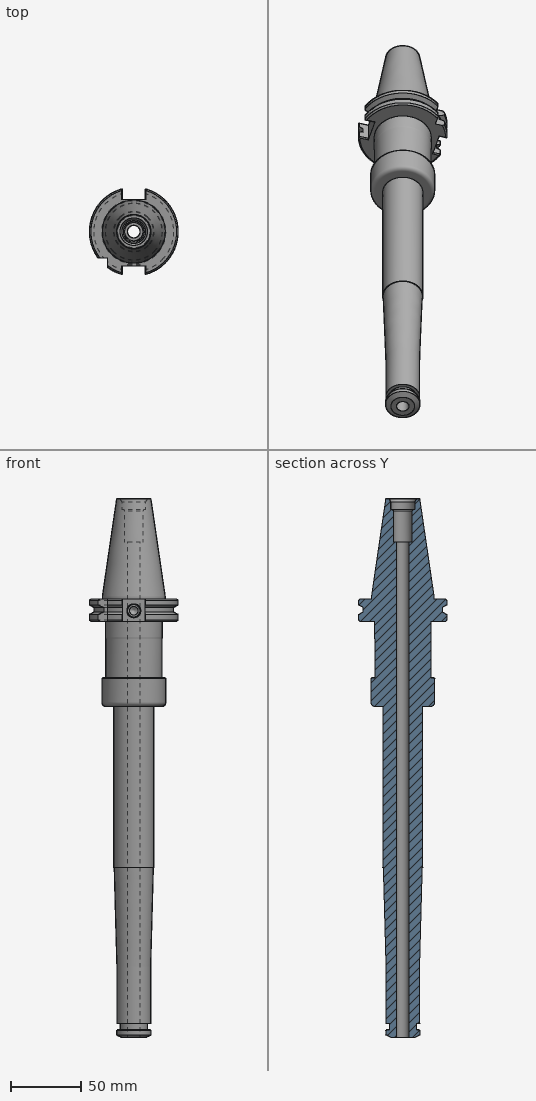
import cadquery as cq
import math

length = 383.8
taper_length = 68.3
gauge_z = length - taper_length
taper_bottom = gauge_z - 1.5
flange_top = gauge_z - 3.0
flange_bottom = gauge_z - 19.0
groove_z = gauge_z - 10.7
body_step_z = 284.0
collar_top = 256.5
collar_bottom = 235.5
shank_bottom = 121.3
cone_bottom = 50.5
tip_bottom = 10.0
rim_top = 5.8
rim_bottom = 2.0

gauge_dia = 44.5
taper_slope = 7 / 24
flange_dia = 63.5
groove_dia = 56.8
upper_body_dia = 40.5
body_dia = 40.3
collar_dia = 45.5
shank_dia = 28.8
cone_top_dia = 28.0
tip_dia = 24.0
neck_dia = 19.5
rim_dia = 24.5
nose_dia = 17.0

taper_end_chamfer = 0.5
flange_chamfer = 1.0
collar_chamfer = 0.8
collar_fillet = 3.0
body_step_chamfer = 0.8
rim_chamfer = 0.8
groove_floor_half = 1.5
groove_wall_angle = math.radians(30)

slot_width = 15.7
slot_chamfer = 0.8
front_slot_floor = 24.5
rear_slot_floor = 23.0
notch_offset = 18.8

side_hole_z = 304.0
side_hole_dia = 6.0
side_countersink_dia = 10.0
side_counterbore_dia = 9.0
side_counterbore_depth = 1.0
side_hole_depth = 2.0
drill_tip_half_angle = math.radians(59)

countersink_dia = 19.5
countersink_half_angle = math.radians(30)
mouth_dia = 17.0
mouth_depth = 7.5
thread_mouth_dia = 15.0
thread_dia = 13.0
thread_depth = 30.7
bore_dia = 9.0


def taper_dia(z):
    """Diameter of the 7/24 taper at height z."""
    return gauge_dia - (z - gauge_z) * taper_slope


def revolve_outline(points):
    """Close a (radius, z) outline and turn it about the Z axis."""
    return cq.Workplane("XZ").polyline(points).close().revolve(360, (0, 0, 0), (0, 1, 0))


def nose_and_shank():
    return revolve_outline([
        (0, 0),
        (nose_dia / 2, 0),
        (rim_dia / 2, rim_bottom),
        (rim_dia / 2, rim_top - rim_chamfer),
        (rim_dia / 2 - rim_chamfer, rim_top),
        (neck_dia / 2, rim_top),
        (neck_dia / 2, tip_bottom),
        (tip_dia / 2, tip_bottom),
        (tip_dia / 2, cone_bottom),
        (cone_top_dia / 2, shank_bottom),
        (shank_dia / 2, shank_bottom),
        (shank_dia / 2, collar_bottom),
        (0, collar_bottom),
    ])


def collar():
    ring = cq.Workplane("XY", origin=(0, 0, collar_bottom)).circle(collar_dia / 2)
    ring = ring.extrude(collar_top - collar_bottom)
    ring = ring.faces("<Z").edges().fillet(collar_fillet)
    return ring.faces(">Z").edges().chamfer(collar_chamfer)


def body():
    return revolve_outline([
        (0, collar_top),
        (body_dia / 2, collar_top),
        (body_dia / 2, body_step_z),
        (upper_body_dia / 2, body_step_z + body_step_chamfer),
        (upper_body_dia / 2, flange_bottom),
        (0, flange_bottom),
    ])


def flange():
    flange_r = flange_dia / 2
    groove_depth = (flange_dia - groove_dia) / 2
    groove_mouth_half = groove_floor_half + groove_depth * math.tan(groove_wall_angle)
    ring = revolve_outline([
        (0, flange_bottom),
        (flange_r - flange_chamfer, flange_bottom),
        (flange_r, flange_bottom + flange_chamfer),
        (flange_r, groove_z - groove_mouth_half),
        (groove_dia / 2, groove_z - groove_floor_half),
        (groove_dia / 2, groove_z + groove_floor_half),
        (flange_r, groove_z + groove_mouth_half),
        (flange_r, flange_top - flange_chamfer),
        (flange_r - flange_chamfer, flange_top),
        (0, flange_top),
    ])
    ring = ring.cut(drive_slot(front_slot_floor).rotate((0, 0, 0), (0, 0, 1), 180))
    ring = ring.cut(drive_slot(rear_slot_floor))
    return ring.cut(orientation_notch())


def drive_slot(floor_y):
    """Cutter for a slot open towards +Y, with its mouth, top and bottom edges chamfered."""
    half = slot_width / 2
    wide = half + slot_chamfer
    mouth_y = math.sqrt((flange_dia / 2) ** 2 - half ** 2)
    plan = [
        (-half, floor_y),
        (-half, mouth_y - slot_chamfer),
        (-wide, mouth_y),
        (-wide, flange_dia),
        (wide, flange_dia),
        (wide, mouth_y),
        (half, mouth_y - slot_chamfer),
        (half, floor_y),
    ]
    section = [
        (-wide, flange_bottom),
        (-half, flange_bottom + slot_chamfer),
        (-half, flange_top - slot_chamfer),
        (-wide, flange_top),
        (wide, flange_top),
        (half, flange_top - slot_chamfer),
        (half, flange_bottom + slot_chamfer),
        (wide, flange_bottom),
    ]
    slot = cq.Workplane("XY", origin=(0, 0, flange_bottom)).polyline(plan).close()
    slot = slot.extrude(flange_top - flange_bottom)
    chamfered_slot = cq.Workplane("XZ", origin=(0, floor_y, 0)).polyline(section).close()
    return slot.union(chamfered_slot.extrude(floor_y - flange_dia))


def orientation_notch():
    """Cutter for the square corner removed on the -X, -Y side of the flange."""
    far = flange_dia
    corner = cq.Workplane("XY", origin=(-far, -far, flange_bottom))
    side = far - notch_offset
    return corner.box(side, side, flange_top - flange_bottom, centered=False)


def taper():
    return revolve_outline([
        (0, flange_top),
        (taper_dia(taper_bottom) / 2, flange_top),
        (taper_dia(taper_bottom) / 2, taper_bottom),
        (taper_dia(length) / 2, length - taper_end_chamfer),
        (taper_dia(length) / 2 - taper_end_chamfer, length),
        (0, length),
    ])


def axial_bore():
    countersink_depth = (countersink_dia - mouth_dia) / 2 / math.tan(countersink_half_angle)
    thread_chamfer = (thread_mouth_dia - thread_dia) / 2
    return revolve_outline([
        (0, 0),
        (bore_dia / 2, 0),
        (bore_dia / 2, length - thread_depth),
        (thread_dia / 2, length - thread_depth),
        (thread_dia / 2, length - mouth_depth - thread_chamfer),
        (thread_mouth_dia / 2, length - mouth_depth),
        (mouth_dia / 2, length - mouth_depth),
        (mouth_dia / 2, length - countersink_depth),
        (countersink_dia / 2, length),
        (0, length),
    ])


def side_hole():
    """Countersunk shallow counterbore and a drilled hole with a conical end, turned about +Y."""
    floor = -front_slot_floor
    countersink_depth = (side_countersink_dia - side_counterbore_dia) / 2
    tip_depth = side_hole_dia / 2 / math.tan(drill_tip_half_angle)
    cutter = cq.Workplane("XY").polyline([
        (0, floor),
        (side_countersink_dia / 2, floor),
        (side_counterbore_dia / 2, floor + countersink_depth),
        (side_counterbore_dia / 2, floor + side_counterbore_depth),
        (side_hole_dia / 2, floor + side_counterbore_depth),
        (side_hole_dia / 2, floor + side_hole_depth),
        (0, floor + side_hole_depth + tip_depth),
    ]).close().revolve(360, (0, 0, 0), (0, 1, 0))
    return cutter.translate((0, 0, side_hole_z))


result = nose_and_shank().union(collar()).union(body()).union(flange()).union(taper())
result = result.cut(side_hole()).cut(axial_bore())